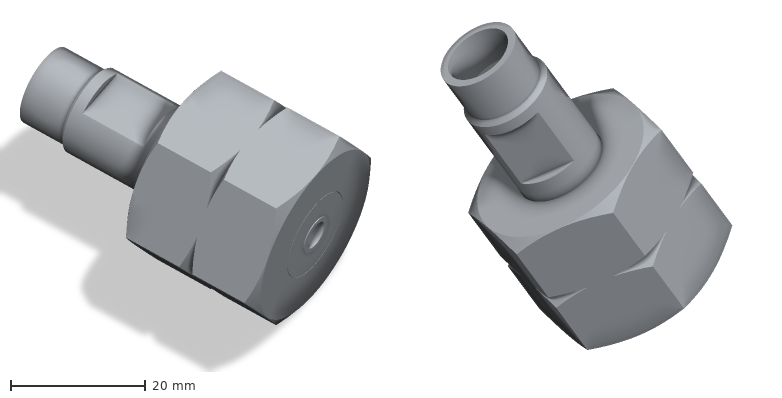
import cadquery as cq
import math

TOTAL_LENGTH = 49.25

NUT_START = 24.95
NUT_END = 49.1
NUT_FLATS = 28.6
NUT_BORE_RADIUS = 7.25
NUT_FACE_RADIUS = 14.25
CONE_ANGLE = math.radians(30)
GROOVE_X = 37.1
GROOVE_ROOT_RADIUS = 14.45
NUT_CORNER_RADIUS = NUT_FLATS / 2 / math.cos(math.pi / 6)
CUTTER_MARGIN = 0.5
CUTTER_RADIUS = NUT_CORNER_RADIUS + CUTTER_MARGIN

TIP_RADIUS = 6.4
TIP_LENGTH = 7.6
STEM_RADIUS = 7.15
SHOULDER_END = TIP_LENGTH + STEM_RADIUS - TIP_RADIUS
NOSE_RADIUS = 3.05

FLATS_START = 10.15
FLATS_END = 21.05
FLATS_HALF_HEIGHT = 5.5

SOCKET_RADIUS = 5.1
SOCKET_DEPTH = 6.35
PASSAGE_RADIUS = 2.25
DRILL_HALF_ANGLE = math.radians(67.5)


def revolve_about_x(profile):
    """Revolve a closed (x, radius) outline about the X axis."""
    outline = cq.Workplane("XY").polyline(profile).close()
    return outline.revolve(360, (0, 0, 0), (1, 0, 0))


def hex_prism():
    """Hexagon with flats facing +Z and -Z and corners on the Y axis."""
    return (
        cq.Workplane("YZ")
        .workplane(offset=NUT_START)
        .polygon(6, 2 * NUT_CORNER_RADIUS)
        .extrude(NUT_END - NUT_START)
    )


def corner_chamfer(face_x, inward):
    """Conical ring cutter for one end face; inward is +1 or -1 along X."""
    depth = (CUTTER_RADIUS - NUT_FACE_RADIUS) * math.tan(CONE_ANGLE)
    return revolve_about_x([
        (face_x, NUT_FACE_RADIUS),
        (face_x, CUTTER_RADIUS),
        (face_x + inward * depth, CUTTER_RADIUS),
    ])


def groove_cutter():
    """V-shaped ring that notches the hexagon corners."""
    half_width = (CUTTER_RADIUS - GROOVE_ROOT_RADIUS) * math.tan(CONE_ANGLE)
    return revolve_about_x([
        (GROOVE_X, GROOVE_ROOT_RADIUS),
        (GROOVE_X - half_width, CUTTER_RADIUS),
        (GROOVE_X + half_width, CUTTER_RADIUS),
    ])


def make_nut():
    bore = (
        cq.Workplane("YZ")
        .workplane(offset=NUT_START)
        .circle(NUT_BORE_RADIUS)
        .extrude(NUT_END - NUT_START)
    )
    return (
        hex_prism()
        .cut(corner_chamfer(NUT_START, 1))
        .cut(corner_chamfer(NUT_END, -1))
        .cut(groove_cutter())
        .cut(bore)
    )


def stem_blank():
    """Stepped tube with a conical-bottomed socket and a narrow through passage."""
    cone_length = (SOCKET_RADIUS - PASSAGE_RADIUS) / math.tan(DRILL_HALF_ANGLE)
    return revolve_about_x([
        (0, SOCKET_RADIUS),
        (0, TIP_RADIUS),
        (TIP_LENGTH, TIP_RADIUS),
        (SHOULDER_END, STEM_RADIUS),
        (NUT_END, STEM_RADIUS),
        (NUT_END, NOSE_RADIUS),
        (TOTAL_LENGTH, NOSE_RADIUS),
        (TOTAL_LENGTH, PASSAGE_RADIUS),
        (SOCKET_DEPTH + cone_length, PASSAGE_RADIUS),
        (SOCKET_DEPTH, SOCKET_RADIUS),
    ])


def make_stem():
    stem = stem_blank()
    for side in (1, -1):
        flat_cutter = cq.Workplane("XY").box(
            FLATS_END - FLATS_START, 2 * STEM_RADIUS, STEM_RADIUS, centered=(False, True, True)
        )
        flat_z = side * (FLATS_HALF_HEIGHT + STEM_RADIUS / 2)
        stem = stem.cut(flat_cutter.translate((FLATS_START, 0, flat_z)))
    return stem


nut = make_nut()
stem = make_stem()
result = cq.Compound.makeCompound([nut.val(), stem.val()])